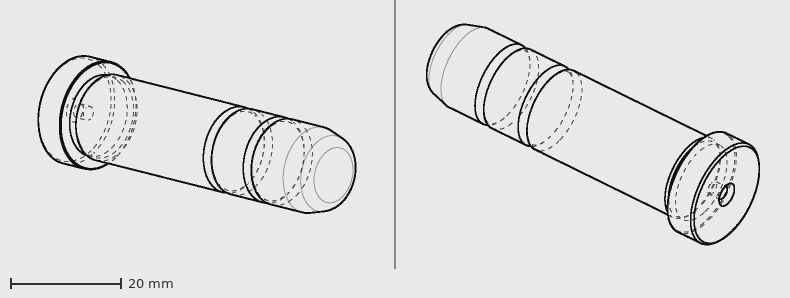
import cadquery as cq
import math

length = 65.0
head_diameter = 20.0
shank_diameter = 16.0
neck_diameter = 15.1

head_length = 6.0
head_front_chamfer = 0.45
head_back_chamfer = 0.2
shank_start = 8.0

groove_centres = (41.0, 51.0)
groove_width = 2.0
groove_depth = 0.62

taper_start = 60.0
taper_angle = math.radians(15)
tip_radius = 2.0

countersink_diameter = 4.5
countersink_half_angle = math.radians(45)
pilot_diameter = 2.6
pilot_length = 2.5
drill_half_angle = math.radians(59)

head_radius = head_diameter / 2
shank_radius = shank_diameter / 2
neck_radius = neck_diameter / 2
neck_end = shank_start - (shank_radius - neck_radius)


def revolve_about_x(profile):
    """Close an (x, radius) profile and turn it about the X axis."""
    return profile.close().revolve(360, (0, 0, 0), (1, 0, 0))


def make_body():
    arc_centre_x = length - tip_radius
    arc_start_x = arc_centre_x + tip_radius * math.sin(taper_angle)
    arc_start_r = shank_radius - (arc_start_x - taper_start) * math.tan(taper_angle)
    end_face_radius = arc_start_r - tip_radius * math.cos(taper_angle)
    arc_middle_angle = (taper_angle + math.pi / 2) / 2
    arc_middle = (
        arc_centre_x + tip_radius * math.sin(arc_middle_angle),
        end_face_radius + tip_radius * math.cos(arc_middle_angle),
    )

    profile = (
        cq.Workplane("XY")
        .lineTo(0, head_radius - head_front_chamfer)
        .lineTo(head_front_chamfer, head_radius)
        .lineTo(head_length - head_back_chamfer, head_radius)
        .lineTo(head_length, head_radius - head_back_chamfer)
        .lineTo(head_length, neck_radius)
        .lineTo(neck_end, neck_radius)
        .lineTo(shank_start, shank_radius)
    )
    for centre in groove_centres:
        profile = profile.lineTo(centre - groove_width / 2, shank_radius).threePointArc(
            (centre, shank_radius - groove_depth),
            (centre + groove_width / 2, shank_radius),
        )
    profile = (
        profile.lineTo(taper_start, shank_radius)
        .lineTo(arc_start_x, arc_start_r)
        .threePointArc(arc_middle, (length, end_face_radius))
        .lineTo(length, 0)
    )
    return revolve_about_x(profile)


def make_centre_hole():
    mouth_radius = countersink_diameter / 2
    pilot_radius = pilot_diameter / 2
    pilot_start = (mouth_radius - pilot_radius) / math.tan(countersink_half_angle)
    pilot_end = pilot_start + pilot_length
    drill_tip = pilot_end + pilot_radius / math.tan(drill_half_angle)
    profile = (
        cq.Workplane("XY")
        .lineTo(0, mouth_radius)
        .lineTo(pilot_start, pilot_radius)
        .lineTo(pilot_end, pilot_radius)
        .lineTo(drill_tip, 0)
    )
    return revolve_about_x(profile)


result = make_body().cut(make_centre_hole())